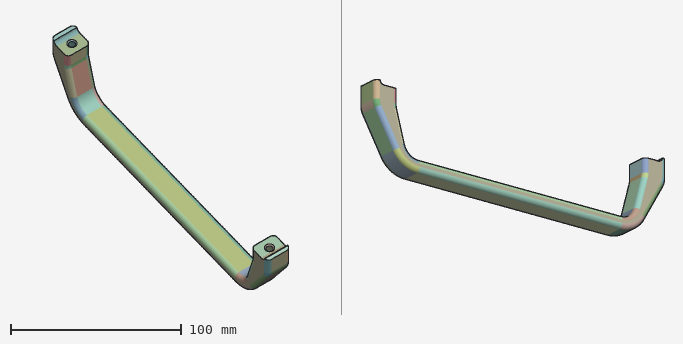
import cadquery as cq
import math

length = 212.0
width = 17.0
height = 51.0
half_length = length / 2

bar_thickness = 8.0
foot_width = 16.1
outer_knee_depth = 14.8
inner_knee_depth = 13.4
outer_lean = math.radians(29.5)
inner_lean = math.radians(15)
outer_bend_radius = 20.0
inner_bend_radius = 10.0
knee_radius = 10.0
edge_radius = 3.0

lip_width = 3.0
seat_depth = 2.5
seat_fillet = 3.0
hole_offset = 9.3
hole_diameter = 4.2
countersink_diameter = 6.0
countersink_angle = math.radians(90)
hole_depth = 12.7
drill_tip_angle = math.radians(118)


def handle_body():
    """Bent bar with rounded knees, bends and long edges."""
    bar_top = bar_thickness - height
    outer_bend_x = half_length - (height - outer_knee_depth) * math.tan(outer_lean)
    inner_foot_x = half_length - foot_width
    inner_bend_x = inner_foot_x + (bar_top + inner_knee_depth) * math.tan(inner_lean)
    right_side = [
        (outer_bend_x, -height),
        (half_length, -outer_knee_depth),
        (half_length, 0),
        (inner_foot_x, 0),
        (inner_foot_x, -inner_knee_depth),
        (inner_bend_x, bar_top),
    ]
    left_side = [(-x, z) for x, z in reversed(right_side)]
    body = (
        cq.Workplane("XZ")
        .polyline(right_side + left_side)
        .close()
        .extrude(width / 2, both=True)
    )
    cross_edges = body.edges("|Y")
    knees = cross_edges.filter(lambda e: -height / 2 < e.Center().z < -edge_radius)
    body = knees.fillet(knee_radius)
    body = body.edges("|Y").edges("<Z").fillet(outer_bend_radius)
    body = (
        body.edges(cq.selectors.NearestToPointSelector((inner_bend_x, 0, bar_top)))
        .add(body.edges(cq.selectors.NearestToPointSelector((-inner_bend_x, 0, bar_top))))
        .fillet(inner_bend_radius)
    )
    long_edges = body.faces("<Y or >Y").edges().filter(lambda e: e.Center().z < -edge_radius)
    return long_edges.fillet(edge_radius)


def seat_cutter():
    """Recess above the right foot, with a concave arc up to the outer lip."""
    lip_x = half_length - lip_width
    arc_center_z = seat_fillet - seat_depth
    arc_run = math.sqrt(seat_fillet**2 - arc_center_z**2)
    arc_center_x = lip_x - arc_run
    mid_angle = (math.asin(-arc_center_z / seat_fillet) - math.pi / 2) / 2
    arc_middle = (
        arc_center_x + seat_fillet * math.cos(mid_angle),
        arc_center_z + seat_fillet * math.sin(mid_angle),
    )
    return (
        cq.Workplane("XZ")
        .moveTo(lip_x, 0)
        .threePointArc(arc_middle, (arc_center_x, -seat_depth))
        .lineTo(half_length - 2 * foot_width, -seat_depth)
        .lineTo(half_length - 2 * foot_width, 0)
        .close()
        .extrude(width, both=True)
    )


def cut_seats(body):
    right_seat = seat_cutter()
    return body.cut(right_seat).cut(right_seat.mirror("YZ"))


def drill_feet(body):
    """Blind, countersunk screw hole with a conical drill tip in each foot."""
    hole_radius = hole_diameter / 2
    countersink_radius = countersink_diameter / 2
    countersink_depth = (countersink_radius - hole_radius) / math.tan(countersink_angle / 2)
    tip_length = hole_radius / math.tan(drill_tip_angle / 2)
    drill = (
        cq.Workplane("XZ")
        .moveTo(0, 0)
        .lineTo(countersink_radius, 0)
        .lineTo(hole_radius, -countersink_depth)
        .lineTo(hole_radius, -hole_depth)
        .lineTo(0, -hole_depth - tip_length)
        .close()
        .revolve(360, (0, 0), (0, 1))
    )
    for side in (-1, 1):
        body = body.cut(drill.translate((side * (half_length - hole_offset), 0, -seat_depth)))
    return body


result = drill_feet(cut_seats(handle_body())).translate((0, 0, height / 2))